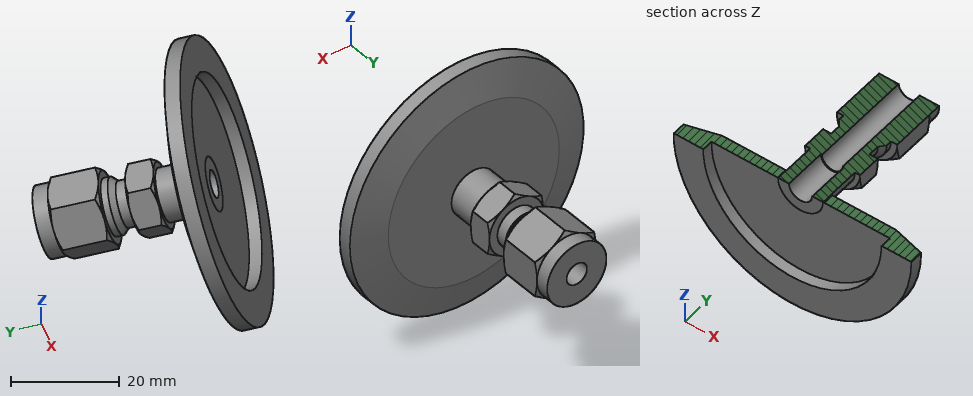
import cadquery as cq
import math


flange_diameter = 55.0
rim_thickness = 3.0
flange_thickness = 5.0
clamp_angle = 15.0
recess_diameter = 41.2
recess_depth = 2.5

hex_start = 12.1
hex_end = 17.6
neck_end = 20.0
shoulder_start = 21.25
nut_start = 22.55
nut_end = 32.35
fitting_end = 35.3

stem_diameter = 10.4
hex_flats = 12.7
neck_diameter = 8.95
shoulder_diameter = 11.1
nut_flats = 13.95
collar_diameter = nut_flats
chamfer_angle = 30.0

bore_diameter = 4.8
stem_bore_diameter = 5.35
stem_bore_end = hex_start


def revolve_profile(points):
    """Revolve a closed (radius, Y) outline about the Y axis."""
    return cq.Workplane("XY").polyline(points).close().revolve(360, (0, 0, 0), (0, 1, 0))


def cylinder(diameter, start, end):
    """Cylinder on the Y axis between two positions."""
    plane = cq.Workplane("XZ", origin=(0, start, 0))
    return plane.circle(diameter / 2).extrude(start - end)


def chamfered_hexagon(flats, start, end):
    """Hexagon with corners at +Z and -Z, its corners turned down at both ends."""
    corner_radius = flats / math.sqrt(3)
    flat_radius = flats / 2
    chamfer_length = (corner_radius - flat_radius) * math.tan(math.radians(chamfer_angle))
    plane = cq.Workplane("XZ", origin=(0, start, 0))
    prism = plane.transformed(rotate=(0, 0, 90)).polygon(6, 2 * corner_radius).extrude(start - end)
    turned_blank = revolve_profile([
        (0, start),
        (flat_radius, start),
        (corner_radius, start + chamfer_length),
        (corner_radius, end - chamfer_length),
        (flat_radius, end),
        (0, end),
    ])
    return prism.intersect(turned_blank)


def make_flange():
    """Clamp flange with a front recess and a hole that receives the stem."""
    rim_radius = flange_diameter / 2
    clamp_rise = flange_thickness - rim_thickness
    back_radius = rim_radius - clamp_rise / math.tan(math.radians(clamp_angle))
    recess_radius = recess_diameter / 2
    stem_radius = stem_diameter / 2
    return revolve_profile([
        (stem_radius, recess_depth),
        (recess_radius, recess_depth),
        (recess_radius, 0),
        (rim_radius, 0),
        (rim_radius, rim_thickness),
        (back_radius, flange_thickness),
        (stem_radius, flange_thickness),
    ])


def make_fitting():
    """Tube fitting: stem flush with the recess floor, hexagon, neck, shoulder and nut."""
    neck_radius = neck_diameter / 2
    shoulder_radius = shoulder_diameter / 2
    neck_and_shoulder = revolve_profile([
        (0, hex_end),
        (neck_radius, hex_end),
        (neck_radius, neck_end),
        (shoulder_radius, shoulder_start),
        (shoulder_radius, nut_start),
        (0, nut_start),
    ])
    body = (
        cylinder(stem_diameter, recess_depth, hex_start)
        .union(chamfered_hexagon(hex_flats, hex_start, hex_end))
        .union(neck_and_shoulder)
        .union(chamfered_hexagon(nut_flats, nut_start, nut_end))
        .union(cylinder(collar_diameter, nut_end, fitting_end))
    )
    bore = cylinder(bore_diameter, recess_depth, fitting_end)
    stem_bore = cylinder(stem_bore_diameter, recess_depth, stem_bore_end)
    return body.cut(bore).cut(stem_bore)


flange = make_flange()
fitting = make_fitting()

result = cq.Compound.makeCompound([flange.val(), fitting.solids().val()])